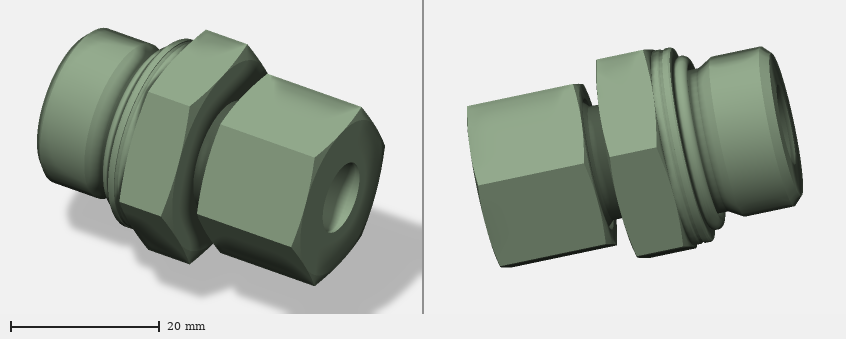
import cadquery as cq
import math


TOTAL_LENGTH = 41.5
STUD_CHAMFER = 1.15
STUD_THREAD_END = 8.0
STUD_TAPER_END = 10.0
FLANGE_START = 12.95
FLANGE_CHAMFER = 0.25
GROOVE_START = 13.95
GROOVE_FLOOR_END = 14.35
GROOVE_END = 14.6
HEX_START = 15.52
HEX_END = 23.07
TUBE_THREAD_START = 25.55
TUBE_THREAD_END = 34.05
NUT_START = 25.98

STUD_RADIUS = 11.0
STUD_RELIEF_RADIUS = STUD_RADIUS - STUD_CHAMFER
FLANGE_RADIUS = 13.35
FLANGE_FACE_RADIUS = 13.2
GROOVE_RADIUS = 13.2
NECK_RADIUS = 7.8
TUBE_THREAD_RADIUS = 9.0
BORE_RADIUS = 5.0
BORE_CHAMFER = 0.55

BODY_ACROSS_FLATS = 27.0
NUT_ACROSS_FLATS = 22.0
HEX_SIDES = 6
HEX_CHAMFER_ANGLE = 15.0

RING_SECTION_RADIUS = 0.95
RING_OUTER_RADIUS = 11.95
RING_CENTRE_RADIUS = RING_OUTER_RADIUS - RING_SECTION_RADIUS
RING_X = FLANGE_START - RING_SECTION_RADIUS


def revolve_about_x(points):
    """Solid of revolution from (x, radius) points."""
    return cq.Workplane("XY").polyline(points).close().revolve(360, (0, 0, 0), (1, 0, 0))


def cylinder_x(start, end, radius):
    return cq.Workplane("YZ", origin=(start, 0, 0)).circle(radius).extrude(end - start)


def chamfered_hexagon(start, end, across_flats):
    """Hexagonal prism whose corners are cut back by a shallow cone at both ends."""
    flat_radius = across_flats / 2
    corner_radius = flat_radius / math.cos(math.pi / HEX_SIDES)
    corner_cut = (corner_radius - flat_radius) * math.tan(math.radians(HEX_CHAMFER_ANGLE))
    prism = (
        cq.Workplane("YZ", origin=(start, 0, 0))
        .polygon(HEX_SIDES, 2 * corner_radius)
        .extrude(end - start)
    )
    envelope = revolve_about_x([
        (start, 0),
        (start, flat_radius),
        (start + corner_cut, corner_radius),
        (end - corner_cut, corner_radius),
        (end, flat_radius),
        (end, 0),
    ])
    return prism.intersect(envelope)


def make_stud():
    """Chamfered stud thread, tapered relief and the grooved flange that backs the seal ring."""
    return revolve_about_x([
        (0, 0),
        (0, STUD_RADIUS - STUD_CHAMFER),
        (STUD_CHAMFER, STUD_RADIUS),
        (STUD_THREAD_END, STUD_RADIUS),
        (STUD_TAPER_END, STUD_RELIEF_RADIUS),
        (FLANGE_START, STUD_RELIEF_RADIUS),
        (FLANGE_START, FLANGE_FACE_RADIUS),
        (FLANGE_START + FLANGE_CHAMFER, FLANGE_RADIUS),
        (GROOVE_START, FLANGE_RADIUS),
        (GROOVE_START, GROOVE_RADIUS),
        (GROOVE_FLOOR_END, GROOVE_RADIUS),
        (GROOVE_END, FLANGE_RADIUS),
        (HEX_START, FLANGE_RADIUS),
        (HEX_START, 0),
    ])


def make_tube_end():
    """Plain neck and the larger threaded end that fills the nut socket."""
    thread_step = TUBE_THREAD_RADIUS - NECK_RADIUS
    return revolve_about_x([
        (HEX_END, 0),
        (HEX_END, NECK_RADIUS),
        (TUBE_THREAD_START, NECK_RADIUS),
        (TUBE_THREAD_START + thread_step, TUBE_THREAD_RADIUS),
        (TUBE_THREAD_END, TUBE_THREAD_RADIUS),
        (TUBE_THREAD_END, 0),
    ])


def make_body_bore():
    """Through bore with a chamfered mouth at the stud end."""
    return revolve_about_x([
        (0, 0),
        (0, BORE_RADIUS + BORE_CHAMFER),
        (BORE_CHAMFER, BORE_RADIUS),
        (TUBE_THREAD_END, BORE_RADIUS),
        (TUBE_THREAD_END, 0),
    ])


def make_body():
    hexagon = chamfered_hexagon(HEX_START, HEX_END, BODY_ACROSS_FLATS)
    return make_stud().union(hexagon).union(make_tube_end()).cut(make_body_bore())


def make_seal_ring():
    return (
        cq.Workplane("XY")
        .center(RING_X, RING_CENTRE_RADIUS)
        .circle(RING_SECTION_RADIUS)
        .revolve(360, (0, -RING_CENTRE_RADIUS, 0), (1, -RING_CENTRE_RADIUS, 0))
    )


def make_nut():
    """Hexagonal nut with a socket for the threaded end and a bore out of the far face."""
    socket = cylinder_x(NUT_START, TUBE_THREAD_END, TUBE_THREAD_RADIUS)
    bore = cylinder_x(TUBE_THREAD_END, TOTAL_LENGTH, BORE_RADIUS)
    return chamfered_hexagon(NUT_START, TOTAL_LENGTH, NUT_ACROSS_FLATS).cut(socket).cut(bore)


body = make_body()
seal_ring = make_seal_ring()
nut = make_nut()

result = cq.Compound.makeCompound([body.val(), seal_ring.val(), nut.val()])